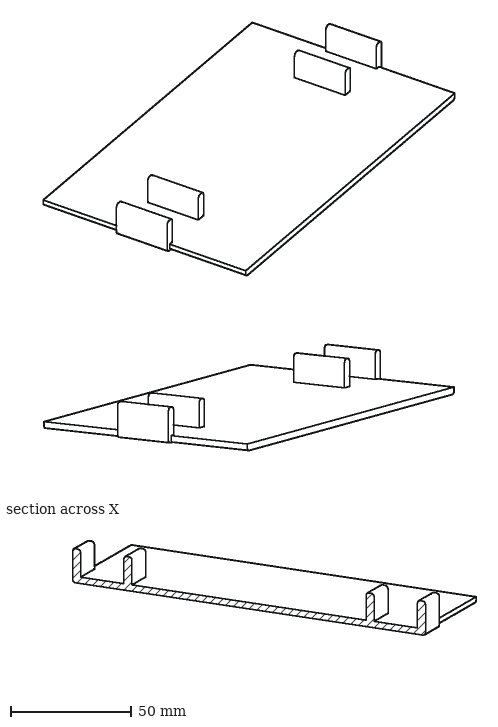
import cadquery as cq

plate_width = 100.0
plate_length = 161.0
plate_thickness = 3.0

overall_height = 15.0
tab_width = 25.0
tab_thickness = 4.0
tab_pair_spacing = 24.0
outer_tab_y = plate_length / 2
inner_tab_y = outer_tab_y - tab_pair_spacing

edge_radius = 1.5


def make_plate():
    """Flat plate resting on Z = 0, with its two lower end edges rounded."""
    plate = cq.Workplane("XY").box(
        plate_width, plate_length, plate_thickness, centered=(True, True, False)
    )
    return plate.faces("<Z").edges("|X").fillet(edge_radius)


def make_tab():
    """Upright tab centred on the Z axis, standing on Z = 0, with a rounded top."""
    tab = cq.Workplane("XY").box(
        tab_width, tab_thickness, overall_height, centered=(True, True, False)
    )
    return tab.faces(">Z").edges("|X").fillet(edge_radius)


def make_tab_pair():
    """Inner and outer tab at the +Y end; the outer one has a rounded lower outside edge."""
    inner_tab = make_tab().translate((0, inner_tab_y, 0))
    outer_tab = make_tab().faces("<Z").edges(">Y").fillet(edge_radius)
    return inner_tab.union(outer_tab.translate((0, outer_tab_y, 0)))


tab_pair = make_tab_pair()
result = make_plate().union(tab_pair).union(tab_pair.mirror("XZ"))